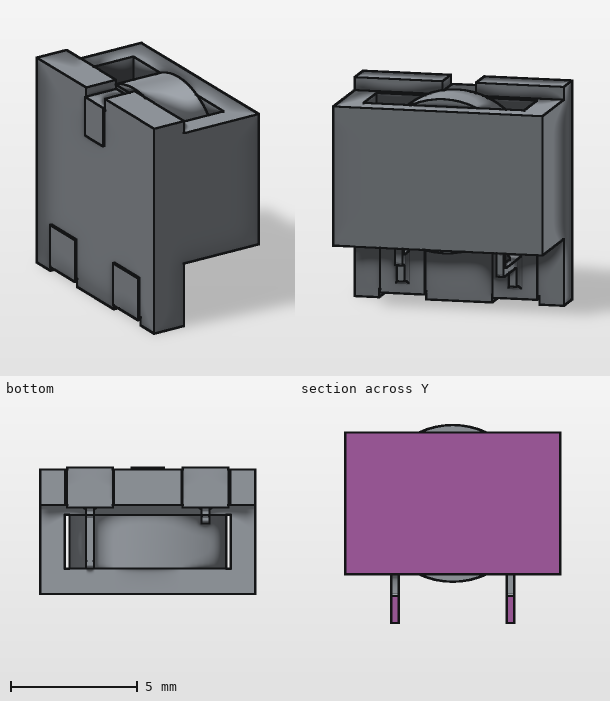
import cadquery as cq


plate_width = 8.5
plate_height = 8.8
plate_thickness = 1.41

housing_back = 4.93
housing_bottom = 2.68
housing_top = 8.28

window_width = 6.53
window_front = 1.8
window_back = 3.92
drum_radius = 3.1
drum_center_z = (housing_bottom + housing_top) / 2

metal_proud = 0.07

notch_width = 1.355
tab_width = 1.29
tab_top = 8.42
tab_bottom = 6.77

slot_center_x = 2.3
slot_width = 1.92
slot_depth = 0.33
pad_center_x = 2.28
pad_width = 1.81
pad_bottom = 0.21
pad_front_top = 2.015
pad_back_top = 2.42
pad_back_thickness = 0.11
pad_back_y = plate_thickness + pad_back_thickness

wire_size = 0.3
wire_bend_radius = 0.1
wire_top = 3.96
shelf_top = 1.83
foot_bottom = 0.76
foot_back_y = pad_back_y + wire_size
solder_radius = 0.14
solder_margin = 0.01
left_wire_back = window_back
left_shelf_bottom = shelf_top - wire_size
right_wire_back = 2.14
right_shelf_bottom = 1.45


def block(center_x, width, front, back, bottom, top):
    """Box centred on center_x, spanning front to back in Y and bottom to top in Z."""
    size_y = back - front
    size_z = top - bottom
    box = cq.Workplane("XY").box(width, size_y, size_z, centered=(True, False, False))
    return box.translate((center_x, front, bottom))


def make_body():
    """Plate and housing, with the window, the top notch and the two bottom slots."""
    plate = block(0, plate_width, 0, plate_thickness, 0, plate_height)
    housing = block(0, plate_width, plate_thickness, housing_back, housing_bottom, housing_top)
    body = plate.union(housing)
    body = body.cut(block(0, window_width, window_front, window_back, housing_bottom, housing_top))
    body = body.cut(block(0, notch_width, 0, plate_thickness, housing_top, plate_height))
    for side in (-1, 1):
        body = body.cut(block(side * slot_center_x, slot_width, 0, plate_thickness, 0, slot_depth))
    return body


def make_drum():
    """Coil drum with its axis along Y, filling the window from front to back."""
    return (
        cq.Workplane("XZ", origin=(0, window_back, drum_center_z))
        .circle(drum_radius)
        .extrude(window_back - window_front)
    )


def make_top_tab():
    """Terminal folded from the notch floor down over the plate's face."""
    web = block(0, tab_width, -metal_proud, plate_thickness, housing_top, tab_top)
    return web.union(block(0, tab_width, -metal_proud, 0, tab_bottom, tab_top))


def make_wire(center_x, back_y, shelf_bottom):
    """Square wire dropping from the drum, running forward, then turning down to its foot."""
    inner_y = back_y - wire_size
    outer_bend = (back_y, shelf_bottom)
    inner_bend = (inner_y, shelf_top)
    foot_bend = (foot_back_y, shelf_bottom)
    wire = (
        cq.Workplane("YZ", origin=(center_x - wire_size / 2, 0, 0))
        .moveTo(back_y, wire_top)
        .lineTo(*outer_bend)
        .lineTo(*foot_bend)
        .lineTo(foot_back_y, foot_bottom)
        .lineTo(pad_back_y, foot_bottom)
        .lineTo(pad_back_y, shelf_top)
        .lineTo(*inner_bend)
        .lineTo(inner_y, wire_top)
        .close()
        .extrude(wire_size)
    )
    for bend_y, bend_z in (outer_bend, inner_bend, foot_bend):
        corner = cq.selectors.NearestToPointSelector((center_x, bend_y, bend_z))
        wire = wire.edges(corner).fillet(wire_bend_radius)
    return wire


def make_bottom_terminal(side, wire_back, shelf_bottom):
    """U-shaped terminal clipped round the plate's lower edge, with its wire soldered on."""
    center_x = side * pad_center_x
    back_pad = block(center_x, pad_width, plate_thickness, pad_back_y, pad_bottom, pad_back_top)
    terminal = back_pad.union(make_wire(center_x, wire_back, shelf_bottom))
    reach_x = wire_size / 2 + solder_margin
    foot_outline = cq.selectors.BoxSelector(
        (center_x - reach_x, pad_back_y - solder_margin, foot_bottom - solder_margin),
        (center_x + reach_x, pad_back_y + solder_margin, shelf_top + solder_margin),
    )
    terminal = terminal.edges(foot_outline).fillet(solder_radius)
    front_pad = block(center_x, pad_width, -metal_proud, 0, pad_bottom, pad_front_top)
    web = block(center_x, pad_width, -metal_proud, pad_back_y, pad_bottom, slot_depth)
    return terminal.union(front_pad).union(web)


result = (
    make_body()
    .union(make_drum())
    .union(make_top_tab())
    .union(make_bottom_terminal(-1, left_wire_back, left_shelf_bottom))
    .union(make_bottom_terminal(1, right_wire_back, right_shelf_bottom))
)